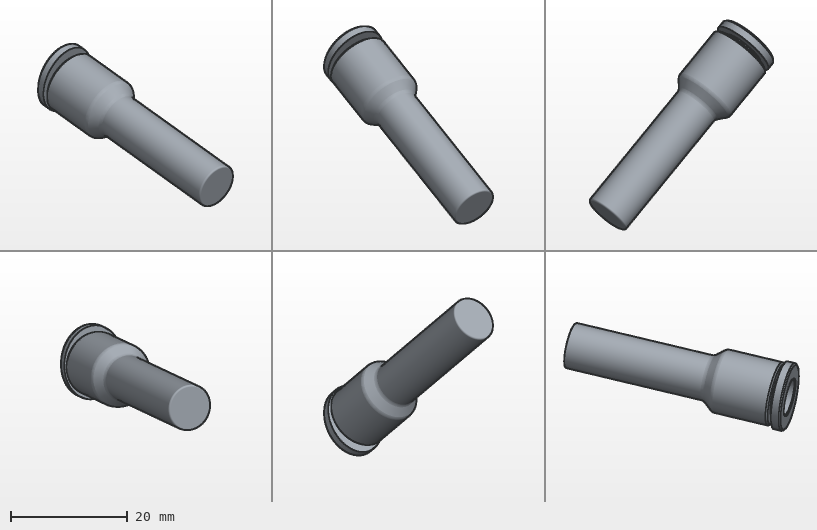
import cadquery as cq

length = 39.45

flange_height = 13.0
flange_width = 11.05
flange_thickness = 1.65
flange_edge_chamfer = 0.28

neck_diameter = 7.57
neck_length = 0.67

body_diameter = 11.2
body_lead_chamfer = 0.3
taper_start = 12.5
taper_end = 14.48
taper_blend_radius = 1.0

stem_diameter = 8.0
stem_end_radius = 0.3

bore_diameter = 6.3
bore_depth = 15.78
bore_chamfer = 0.2
chamfer_angle = 45

body_start = flange_thickness + neck_length


def make_flange():
    """Oval plate with a bevelled front rim."""
    plate = cq.Workplane("YZ").ellipse(flange_width / 2, flange_height / 2).extrude(flange_thickness)
    return plate.faces("<X").chamfer(flange_edge_chamfer)


def make_neck():
    """Round neck reaching from inside the flange to the body."""
    return cq.Workplane("YZ").circle(neck_diameter / 2).extrude(body_start)


def make_body_and_stem():
    """Turned body, blended taper and stem, revolved about the X axis."""
    body_radius = body_diameter / 2
    stem_radius = stem_diameter / 2
    turned = (
        cq.Workplane("XY")
        .moveTo(body_start, 0)
        .lineTo(body_start, body_radius)
        .lineTo(taper_start, body_radius)
        .lineTo(taper_end, stem_radius)
        .lineTo(length, stem_radius)
        .lineTo(length, 0)
        .close()
        .revolve(360, (0, 0, 0), (1, 0, 0))
    )
    for corner in (taper_start, taper_end):
        nearest = cq.selectors.NearestToPointSelector((corner, 0, 0))
        turned = turned.edges("%CIRCLE").edges(nearest).fillet(taper_blend_radius)
    turned = turned.faces("<X").chamfer(body_lead_chamfer)
    return turned.faces(">X").edges().fillet(stem_end_radius)


def make_bore():
    """Blind bore with a chamfered mouth, as a cutting solid."""
    hole = cq.Workplane("YZ").circle(bore_diameter / 2).extrude(bore_depth)
    mouth_radius = bore_diameter / 2 + bore_chamfer
    mouth = cq.Workplane("YZ").circle(mouth_radius).extrude(bore_chamfer, taper=chamfer_angle)
    return hole.union(mouth)


result = make_flange().union(make_neck()).union(make_body_and_stem()).cut(make_bore())